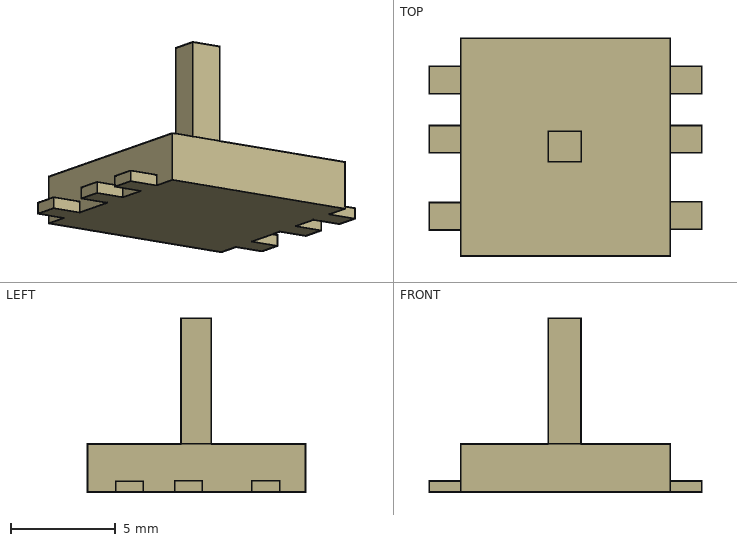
import cadquery as cq

body_length = 10.0
body_width = 10.4
body_height = 2.3

overall_height = 8.3
post_length = 1.57
post_width = 1.45
post_x = -0.04
post_y = 0.02

overall_length = 13.0
terminal_width = 1.32
terminal_height = 0.54
rear_terminal_height = 0.52
rear_terminal_y = 3.2
middle_terminal_y = 0.38
left_front_terminal_y = -3.3
right_front_terminal_y = -3.26

terminal_reach = (overall_length - body_length) / 2


def block(length, width, height, x, y, z):
    """Box centred on (x, y) with its underside at z."""
    solid = cq.Workplane("XY").box(length, width, height, centered=(True, True, False))
    return solid.translate((x, y, z))


def terminal_row(side, front_y):
    """Three terminals on one X side (-1 or +1), rear to front."""
    x = side * (body_length + terminal_reach) / 2
    rear = block(terminal_reach, terminal_width, rear_terminal_height, x, rear_terminal_y, 0)
    middle = block(terminal_reach, terminal_width, terminal_height, x, middle_terminal_y, 0)
    front = block(terminal_reach, terminal_width, terminal_height, x, front_y, 0)
    return rear.union(middle).union(front)


body = block(body_length, body_width, body_height, 0, 0, 0)
post = block(post_length, post_width, overall_height - body_height, post_x, post_y, body_height)
left_terminals = terminal_row(-1, left_front_terminal_y)
right_terminals = terminal_row(1, right_front_terminal_y)

result = body.union(post).union(left_terminals).union(right_terminals)